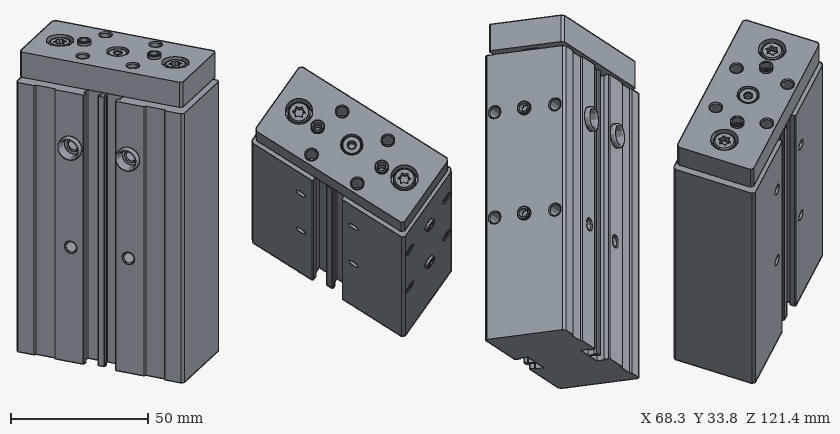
import cadquery as cq
import math


housing_width = 67.0
housing_depth = 32.0
housing_height = 108.0
housing_edge_chamfer = 1.0

plate_width = 65.0
plate_depth = 30.0
plate_height = 10.1
plate_edge_chamfer = 1.0
plate_gap = 2.0

guide_rod_diameter = 12.0
guide_rod_spacing = 46.1
piston_rod_diameter = 6.0
rod_reach = 95.8

slot_lip_x = 6.3
slot_cavity_x = 7.2
slot_depth = 5.5
slot_lip_thickness = 2.2
slot_edge_chamfer = 0.4
rib_head_half_width = 1.5
rib_stem_half_width = 0.6
rib_setback = 1.3
rib_head_thickness = 1.5

groove_offset_x = 22.0
groove_width = 8.5
groove_floor_width = 7.5
groove_depth = 0.7

thread_diameter = 4.1
thread_mouth_diameter = 5.0
side_hole_depth = 10.0
drill_tip_angle = 118.0

upper_row_below_top = 22.0
row_spacing = 40.0
front_hole_spacing = 23.0
side_hole_spacing = 24.0

plate_hole_spacing = 20.0

small_sleeve_diameter = 5.0
small_sleeve_bore = 3.3
small_sleeve_protrusion = 1.3
small_sleeve_length = 3.0
small_sleeve_chamfer = 0.2
plate_sleeve_spacing = 28.0
plate_pattern_y = 1.3
plate_pilot_depth = 4.9

large_sleeve_diameter = 9.0
large_sleeve_bore = 7.0
large_sleeve_protrusion = 1.8
large_sleeve_length = 4.0

counterbore_diameter = 10.0
counterbore_depth = 4.9
screw_head_diameter = 8.0
screw_head_chamfer = 0.5
screw_head_recess = 0.5
lobe_tip_diameter = 4.6
lobe_root_diameter = 3.2
lobe_count = 6
lobe_socket_depth = 2.4

rod_end_counterbore = 8.0
rod_end_diameter = 7.0
rod_end_chamfer = 0.2
rod_end_gap_depth = 2.0
rod_end_recess = 0.5
rod_end_socket_diameter = 3.3
rod_end_socket_chamfer = 0.2
rod_end_socket_depth = 2.4

face_y = -housing_depth / 2
side_x = -housing_width / 2
plate_bottom = housing_height + plate_gap
plate_top = plate_bottom + plate_height
rod_bottom = housing_height - rod_reach
rod_length = plate_bottom - rod_bottom

upper_row_z = housing_height - upper_row_below_top
row_heights = (upper_row_z, upper_row_z - row_spacing)
guide_rod_x = (-guide_rod_spacing / 2, guide_rod_spacing / 2)
front_hole_x = (-front_hole_spacing / 2, front_hole_spacing / 2)
side_hole_y = (-side_hole_spacing / 2, side_hole_spacing / 2)
plate_sleeve_x = (-plate_sleeve_spacing / 2, plate_sleeve_spacing / 2)
small_seat_depth = small_sleeve_length - small_sleeve_protrusion
large_seat_depth = large_sleeve_length - large_sleeve_protrusion

UP = (0, 0, 1)
DOWN = (0, 0, -1)
INTO_FRONT = (0, 1, 0)
INTO_SIDE = (1, 0, 0)


def cylinder(start, direction, diameter, length):
    """Round bar from a start point along a direction."""
    plane = cq.Plane(origin=start, normal=direction)
    return cq.Workplane(plane).circle(diameter / 2).extrude(length)


def cone(start, direction, diameter, end_diameter, length):
    """Cone (or truncated cone) that runs from one diameter to another along a direction."""
    solid = cq.Solid.makeCone(diameter / 2, end_diameter / 2, length, cq.Vector(start), cq.Vector(direction))
    return cq.Workplane(obj=solid)


def point_along(start, direction, distance):
    """Point at a distance from start along a unit direction."""
    return tuple(s + distance * d for s, d in zip(start, direction))


def thread_mouth(start, direction):
    """Countersink at the mouth of a threaded hole."""
    depth = (thread_mouth_diameter - thread_diameter) / 2
    return cone(start, direction, thread_mouth_diameter, thread_diameter, depth)


def drilled_hole(start, direction, diameter, depth):
    """Blind hole with a conical drill tip."""
    tip_length = diameter / 2 / math.tan(math.radians(drill_tip_angle / 2))
    tip_start = point_along(start, direction, depth)
    return cylinder(start, direction, diameter, depth).union(
        cone(tip_start, direction, diameter, 0, tip_length)
    )


def box_with_chamfered_corners(width, depth, height, chamfer):
    """Upright block with its four vertical edges chamfered."""
    block = cq.Workplane().box(width, depth, height, centered=(True, True, False))
    return block.edges("|Z").chamfer(chamfer)


def sensor_slot():
    """Pair of undercut channels in the -Y face, with the T-shaped rib left standing."""
    lip_back = face_y + slot_lip_thickness
    floor_y = face_y + slot_depth
    rib_front = face_y + rib_setback
    rib_back = rib_front + rib_head_thickness
    channel_half = [
        (0, face_y),
        (slot_lip_x + slot_edge_chamfer, face_y),
        (slot_lip_x, face_y + slot_edge_chamfer),
        (slot_lip_x, lip_back),
        (slot_cavity_x, lip_back),
        (slot_cavity_x, floor_y),
        (rib_stem_half_width, floor_y),
        (rib_stem_half_width, rib_back),
        (rib_head_half_width, rib_back),
        (rib_head_half_width, rib_front + slot_edge_chamfer),
        (rib_head_half_width - slot_edge_chamfer, rib_front),
        (0, rib_front),
    ]
    half = cq.Workplane().polyline(channel_half).close().extrude(housing_height)
    return half.union(half.mirror("YZ"))


def face_groove(x):
    """Shallow groove with sloping sides in the -Y face."""
    section = [
        (x - groove_width / 2, face_y),
        (x - groove_floor_width / 2, face_y + groove_depth),
        (x + groove_floor_width / 2, face_y + groove_depth),
        (x + groove_width / 2, face_y),
    ]
    return cq.Workplane().polyline(section).close().extrude(housing_height)


def make_housing():
    body = box_with_chamfered_corners(housing_width, housing_depth, housing_height, housing_edge_chamfer)

    slot = sensor_slot()
    body = body.cut(slot).cut(slot.mirror("XZ"))
    for x in (-groove_offset_x, groove_offset_x):
        body = body.cut(face_groove(x))

    for x in guide_rod_x:
        body = body.cut(cylinder((x, 0, rod_bottom), UP, guide_rod_diameter, rod_reach))
    body = body.cut(cylinder((0, 0, rod_bottom), UP, piston_rod_diameter, rod_reach))

    for x in front_hole_x:
        for z in row_heights:
            mouth = (x, face_y, z)
            if z == upper_row_z:
                body = body.cut(cylinder(mouth, INTO_FRONT, large_sleeve_diameter, large_seat_depth))
                mouth = point_along(mouth, INTO_FRONT, large_seat_depth)
            body = body.cut(cylinder(mouth, INTO_FRONT, thread_diameter, housing_depth))
            body = body.cut(thread_mouth(mouth, INTO_FRONT))

    for z in row_heights:
        body = body.cut(cylinder((side_x, 0, z), INTO_SIDE, small_sleeve_diameter, small_seat_depth))
        for y in side_hole_y:
            mouth = (side_x, y, z)
            body = body.cut(drilled_hole(mouth, INTO_SIDE, thread_diameter, side_hole_depth))
            body = body.cut(thread_mouth(mouth, INTO_SIDE))
    return body


def make_carriage():
    body = box_with_chamfered_corners(plate_width, plate_depth, plate_height, plate_edge_chamfer)
    body = body.translate((0, 0, plate_bottom))

    for x in guide_rod_x:
        body = body.union(cylinder((x, 0, rod_bottom), UP, guide_rod_diameter, rod_length))
        body = body.cut(cylinder((x, 0, plate_top), DOWN, counterbore_diameter, counterbore_depth))
    body = body.union(cylinder((0, 0, rod_bottom), UP, piston_rod_diameter, rod_length))

    body = body.cut(cylinder((0, 0, plate_top), DOWN, rod_end_counterbore, rod_end_gap_depth))
    boss_height = rod_end_gap_depth - rod_end_recess
    boss = cylinder((0, 0, plate_top - rod_end_gap_depth), UP, rod_end_diameter, boss_height)
    body = body.union(boss.faces(">Z").edges().chamfer(rod_end_chamfer))
    mouth = (0, 0, plate_top - rod_end_recess)
    socket_bottom_diameter = rod_end_socket_diameter - 2 * rod_end_socket_chamfer
    body = body.cut(cylinder(mouth, DOWN, socket_bottom_diameter, rod_end_socket_depth))
    body = body.cut(cone(mouth, DOWN, rod_end_socket_diameter, socket_bottom_diameter, rod_end_socket_chamfer))

    for x in (-plate_hole_spacing / 2, plate_hole_spacing / 2):
        for y in (plate_pattern_y - plate_hole_spacing / 2, plate_pattern_y + plate_hole_spacing / 2):
            mouth = (x, y, plate_top)
            body = body.cut(cylinder(mouth, DOWN, thread_diameter, plate_height))
            body = body.cut(thread_mouth(mouth, DOWN))

    for x in plate_sleeve_x:
        mouth = (x, plate_pattern_y, plate_top)
        body = body.cut(cylinder(mouth, DOWN, small_sleeve_diameter, small_seat_depth))
        body = body.cut(drilled_hole(mouth, DOWN, small_sleeve_bore, plate_pilot_depth))
    return body


def lobe_socket(top_z):
    """Six-pointed drive socket on the Z axis, open upward at top_z."""
    def polar(diameter, step):
        angle = math.pi / 2 + step * math.pi / lobe_count
        return (diameter / 2 * math.cos(angle), diameter / 2 * math.sin(angle))

    points = []
    for lobe in range(lobe_count):
        points.append(polar(lobe_tip_diameter, 2 * lobe))
        points.append(polar(lobe_root_diameter, 2 * lobe + 1))
    socket = cq.Workplane(origin=(0, 0, top_z - lobe_socket_depth)).polyline(points).close()
    return socket.extrude(lobe_socket_depth)


def make_screw_head(x):
    """Screw head resting on the floor of a counterbore."""
    seat_z = plate_top - counterbore_depth
    head_height = counterbore_depth - screw_head_recess
    head = cylinder((0, 0, seat_z), UP, screw_head_diameter, head_height)
    head = head.faces(">Z").edges().chamfer(screw_head_chamfer)
    head = head.cut(lobe_socket(seat_z + head_height))
    return head.translate((x, 0, 0))


def make_small_sleeve(mouth, direction):
    """Ring with a chamfered tip that stands out of the face at mouth; direction points into the face."""
    start = point_along(mouth, direction, -small_sleeve_protrusion)
    body_start = point_along(start, direction, small_sleeve_chamfer)
    tip_diameter = small_sleeve_diameter - 2 * small_sleeve_chamfer
    sleeve = cylinder(body_start, direction, small_sleeve_diameter, small_sleeve_length - small_sleeve_chamfer)
    sleeve = sleeve.union(cone(start, direction, tip_diameter, small_sleeve_diameter, small_sleeve_chamfer))
    return sleeve.cut(cylinder(start, direction, small_sleeve_bore, small_sleeve_length))


def make_large_sleeve(x):
    """Ring with a fully rounded outer rim, standing out of the -Y face."""
    outer = large_sleeve_diameter / 2
    inner = large_sleeve_bore / 2
    rim_radius = (outer - inner) / 2
    tip_y = face_y - large_sleeve_protrusion
    seat_y = tip_y + large_sleeve_length
    section = (
        cq.Workplane()
        .moveTo(inner, seat_y)
        .lineTo(outer, seat_y)
        .lineTo(outer, tip_y + rim_radius)
        .threePointArc(((inner + outer) / 2, tip_y), (inner, tip_y + rim_radius))
        .close()
    )
    sleeve = section.revolve(360, (0, 0, 0), (0, 1, 0))
    return sleeve.translate((x, 0, upper_row_z))


housing = make_housing()
carriage = make_carriage()
screw_heads = [make_screw_head(x) for x in guide_rod_x]
plate_sleeves = [make_small_sleeve((x, plate_pattern_y, plate_top), DOWN) for x in plate_sleeve_x]
side_sleeves = [make_small_sleeve((side_x, 0, z), INTO_SIDE) for z in row_heights]
large_sleeves = [make_large_sleeve(x) for x in front_hole_x]

bodies = [housing, carriage, *screw_heads, *plate_sleeves, *side_sleeves, *large_sleeves]
result = cq.Compound.makeCompound([body.val() for body in bodies])